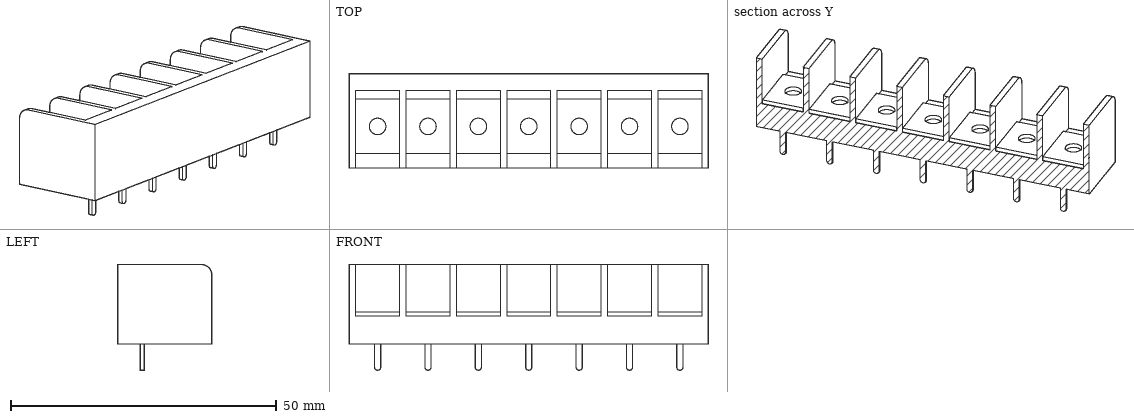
import cadquery as cq

length = 67.7
depth = 17.8
body_height = 15.0
nose_radius = 2.0

bay_count = 7
wall = 1.2
pitch = (length - wall) / bay_count
bay_width = pitch - wall
floor_height = 5.3
back_wall = 3.2

plate_thickness = 0.8
plate_front = 2.7
plate_back = 13.05
hole_diameter = 3.1
hole_from_front = 7.85

pin_length = 4.95
pin_width = 1.2
pin_thickness = plate_thickness
pin_from_back = 4.7

bay_centers = [(i - (bay_count - 1) / 2) * pitch for i in range(bay_count)]


def make_housing():
    """Solid block with its upper front edge rounded."""
    block = cq.Workplane("XY").box(length, depth, body_height, centered=(True, False, False))
    return block.edges("|X and >Z and <Y").fillet(nose_radius)


def make_bay(x):
    """Space cut for one bay, open at the top and front."""
    bay_depth = depth - back_wall
    bay = cq.Workplane("XY").box(bay_width, bay_depth, body_height, centered=(True, False, False))
    return bay.translate((x, 0, floor_height))


def make_plate(x):
    """Terminal plate with a screw hole through it."""
    plate_length = plate_back - plate_front
    plate = (
        cq.Workplane("XY")
        .box(bay_width, plate_length, plate_thickness, centered=(True, False, False))
        .translate((0, plate_front, 0))
    )
    hole = cq.Workplane("XY").center(0, hole_from_front).circle(hole_diameter / 2).extrude(plate_thickness)
    return plate.cut(hole).translate((x, 0, floor_height))


def make_pin(x):
    """Flat solder pin with a fully rounded tip."""
    half_width = pin_width / 2
    pin = (
        cq.Workplane("XZ")
        .moveTo(-half_width, 0)
        .lineTo(-half_width, half_width - pin_length)
        .threePointArc((0, -pin_length), (half_width, half_width - pin_length))
        .lineTo(half_width, 0)
        .close()
        .extrude(pin_thickness / 2, both=True)
    )
    return pin.translate((x, depth - pin_from_back, 0))


result = make_housing()
for x in bay_centers:
    result = result.cut(make_bay(x))
    result = result.union(make_plate(x))
    result = result.union(make_pin(x))